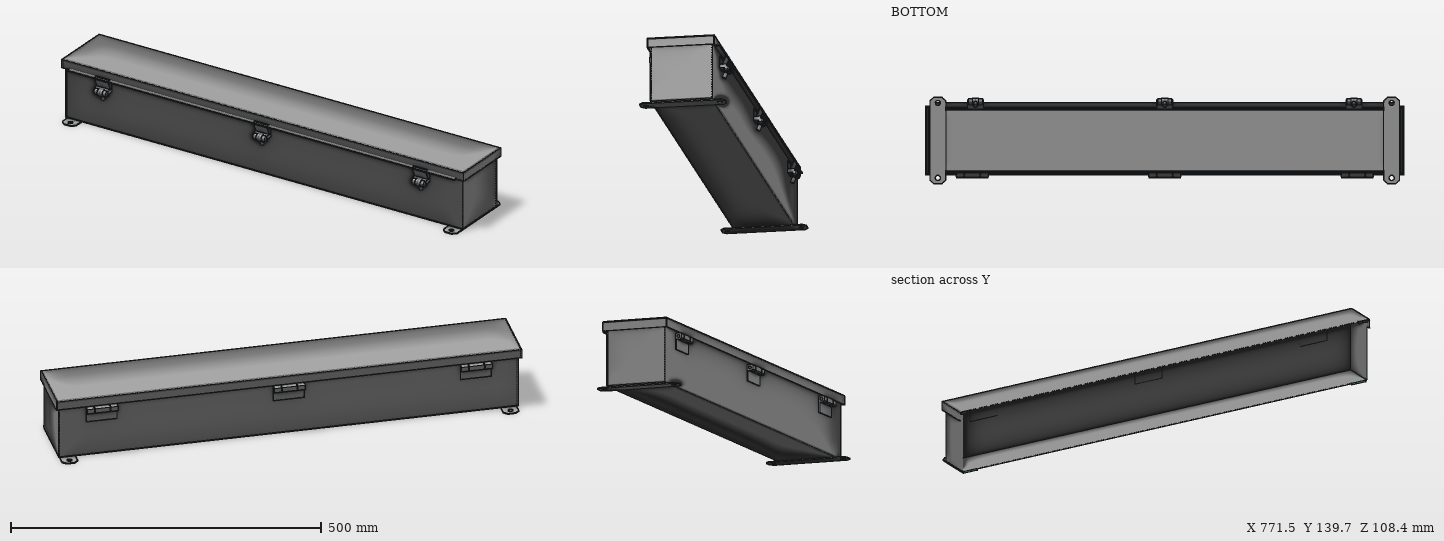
import cadquery as cq
import math

BOX_LENGTH = 762.0
BOX_WIDTH = 101.6
BOX_DEPTH = 101.6
SHEET = 1.9
BEND_RADIUS = 2.6
OVERALL_HEIGHT = 108.38

STRAP_SPAN = 139.7
STRAP_WIDTH = 26.0
STRAP_TIP_WIDTH = 13.0
STRAP_CORNER_LENGTH = 6.0
STRAP_X = 365.5
STRAP_HOLE_DIAMETER = 7.94
STRAP_HOLE_Y = 60.3

LID_OVERHANG = 4.76
LID_HEIGHT = 15.9
LIP_REACH = 5.3
LIP_THICKNESS = 1.6
LIP_ROOT_RADIUS = 1.5
LIP_LENGTH = 742.0
GASKET_CLEARANCE = 1.0
GASKET_INSET = 19.1

HINGE_PITCH = 310.0
HINGE_WIDTH = 51.0
HINGE_LEAF_THICKNESS = 1.9
HINGE_LEAF_BOTTOM = 63.5
KNUCKLE_DEPTH = 9.8
KNUCKLE_BOTTOM = 80.5
KNUCKLE_TOP = 90.0
KNUCKLE_CHAMFER = 2.0
KNUCKLE_GAP = 1.2
CENTRE_KNUCKLE_LENGTH = 24.6
HINGE_PIN_DIAMETER = 4.57
HINGE_PIN_PROJECTION = 0.6

LATCH_PITCH = 304.8
LATCH_WIDTH = 26.0
LATCH_PLATE_THICKNESS = 1.5
LATCH_PLATE_TOP = 91.5
BARREL_DIAMETER = 12.27
BARREL_LENGTH = 10.0
BARREL_OFFSET = 11.5
BARREL_Z = 72.0
CHEEK_DIAMETER = 10.0
CHEEK_CHAMFER = 2.0
ARM_BOTTOM = 72.0
ARM_TOP = 78.0
HOOK_THICKNESS = 1.0
HOOK_REACH = 11.7
HOOK_TIP_REACH = 6.2
HOOK_CREST_REACH = 9.2
HOOK_FOOT_REACH = 5.2
HOOK_TIP_Z = 96.6
HOOK_CREST_Z = 97.2
HOOK_BEND_Z = 92.6
ROD_DIAMETER = 6.35
ROD_LENGTH = 15.0
ROD_TILT = 24.0

box_floor = SHEET
box_rim = box_floor + BOX_DEPTH
wall_y = BOX_WIDTH / 2
lid_length = BOX_LENGTH + 2 * LID_OVERHANG
lid_width = BOX_WIDTH + 2 * LID_OVERHANG
lid_bottom = OVERALL_HEIGHT - LID_HEIGHT
lid_underside = OVERALL_HEIGHT - SHEET


def block(length, width, bottom, top, x=0.0, y=0.0):
    """Upright block centred on (x, y) between two heights."""
    return cq.Workplane("XY", origin=(x, y, bottom)).rect(length, width).extrude(top - bottom)


def cylinder_along_x(diameter, length, y, z):
    """Cylinder along X, centred on X = 0."""
    return cq.Workplane("YZ", origin=(0, y, z)).circle(diameter / 2).extrude(length / 2, both=True)


def profile_along_x(points, length):
    """Closed (y, z) outline extruded along X, centred on X = 0."""
    return cq.Workplane("YZ").polyline(points).close().extrude(length / 2, both=True)


def make_strap():
    """Flat strap across the box with tapered, drilled ends that serve as feet."""
    half_span = STRAP_SPAN / 2
    half_width = STRAP_WIDTH / 2
    half_tip = STRAP_TIP_WIDTH / 2
    shoulder = half_span - STRAP_CORNER_LENGTH
    outline = [
        (half_width, -shoulder),
        (half_width, shoulder),
        (half_tip, half_span),
        (-half_tip, half_span),
        (-half_width, shoulder),
        (-half_width, -shoulder),
        (-half_tip, -half_span),
        (half_tip, -half_span),
    ]
    strap = cq.Workplane("XY").polyline(outline).close().extrude(SHEET)
    holes = (
        cq.Workplane("XY")
        .pushPoints([(0, -STRAP_HOLE_Y), (0, STRAP_HOLE_Y)])
        .circle(STRAP_HOLE_DIAMETER / 2)
        .extrude(SHEET)
    )
    return strap.cut(holes)


def make_box():
    """Open sheet-metal tub with its two mounting straps."""
    shell = block(BOX_LENGTH, BOX_WIDTH, box_floor, box_rim).faces("<Z").edges().fillet(BEND_RADIUS)
    cavity = block(BOX_LENGTH - 2 * SHEET, BOX_WIDTH - 2 * SHEET, box_floor + SHEET, box_rim)
    tub = shell.cut(cavity)
    strap = make_strap()
    for side in (-1, 1):
        tub = tub.union(strap.translate((side * STRAP_X, 0, 0)))
    return tub


def make_lid():
    """Shallow cap over the box rim, with an outward lip for the latches along its front edge."""
    cap = block(lid_length, lid_width, lid_bottom, OVERALL_HEIGHT).faces(">Z").edges().fillet(BEND_RADIUS)
    cavity = block(lid_length - 2 * SHEET, lid_width - 2 * SHEET, lid_bottom, lid_underside)
    front_y = -lid_width / 2
    root_y = front_y + SHEET / 2
    lip_top = lid_bottom + LIP_THICKNESS
    lip = (
        cq.Workplane("YZ")
        .moveTo(root_y, lid_bottom)
        .lineTo(front_y - LIP_REACH, lid_bottom)
        .lineTo(front_y - LIP_REACH, lip_top)
        .lineTo(front_y - LIP_ROOT_RADIUS, lip_top)
        .radiusArc((front_y, lip_top + LIP_ROOT_RADIUS), -LIP_ROOT_RADIUS)
        .lineTo(root_y, lip_top + LIP_ROOT_RADIUS)
        .close()
        .extrude(LIP_LENGTH / 2, both=True)
    )
    return cap.cut(cavity).union(lip)


def make_gasket():
    """Flat sealing ring between the box rim and the underside of the lid."""
    outer_inset = 2 * (SHEET + GASKET_CLEARANCE)
    ring = block(lid_length - outer_inset, lid_width - outer_inset, box_rim, lid_underside)
    opening = block(
        lid_length - 2 * GASKET_INSET, lid_width - 2 * GASKET_INSET, box_rim, lid_underside
    )
    return ring.cut(opening)


def make_hinge():
    """Leaf on the back wall carrying a row of three square knuckles on a pin."""
    leaf_y = wall_y + HINGE_LEAF_THICKNESS / 2
    knuckle_y = wall_y + KNUCKLE_DEPTH / 2
    pin_z = (KNUCKLE_BOTTOM + KNUCKLE_TOP) / 2
    leaf = block(HINGE_WIDTH, HINGE_LEAF_THICKNESS, HINGE_LEAF_BOTTOM, KNUCKLE_TOP, y=leaf_y)
    knuckles = block(HINGE_WIDTH, KNUCKLE_DEPTH, KNUCKLE_BOTTOM, KNUCKLE_TOP, y=knuckle_y)
    knuckles = knuckles.faces("<Z").edges(">Y").chamfer(KNUCKLE_CHAMFER)
    gap_x = (CENTRE_KNUCKLE_LENGTH + KNUCKLE_GAP) / 2
    for side in (-1, 1):
        gap = block(KNUCKLE_GAP, KNUCKLE_DEPTH, KNUCKLE_BOTTOM, KNUCKLE_TOP, side * gap_x, knuckle_y)
        knuckles = knuckles.cut(gap)
    pin_length = HINGE_WIDTH + 2 * HINGE_PIN_PROJECTION
    pin = cylinder_along_x(HINGE_PIN_DIAMETER, pin_length, knuckle_y, pin_z)
    return leaf.union(knuckles).union(pin)


def make_hook():
    """Bent plate rising from the latch arm and closing over the lid lip."""
    outer = [
        (-(wall_y + HOOK_FOOT_REACH), ARM_BOTTOM),
        (-(wall_y + HOOK_FOOT_REACH), ARM_TOP),
        (-(wall_y + HOOK_REACH), HOOK_BEND_Z),
        (-(wall_y + HOOK_CREST_REACH), HOOK_CREST_Z),
        (-(wall_y + HOOK_TIP_REACH), HOOK_TIP_Z),
    ]
    inner = [(y + HOOK_THICKNESS, z) for y, z in outer[:3]]
    crest_y, crest_z = outer[3]
    tip_y, tip_z = outer[4]
    inner.append((crest_y, crest_z - HOOK_THICKNESS))
    inner.append((tip_y, tip_z - HOOK_THICKNESS))
    return profile_along_x(outer + inner[::-1], LATCH_WIDTH)


def make_rod():
    """Round rod leaning from the barrel centre down towards the wall."""
    tilt = math.radians(ROD_TILT)
    start = cq.Vector(0, -(wall_y + BARREL_OFFSET), BARREL_Z)
    direction = cq.Vector(0, math.sin(tilt), -math.cos(tilt))
    return cq.Workplane(cq.Solid.makeCylinder(ROD_DIAMETER / 2, ROD_LENGTH, start, direction))


def make_latch():
    """Wall plate, arm, barrel, hook and rod of one toggle latch."""
    barrel_y = -(wall_y + BARREL_OFFSET)
    plate = block(
        LATCH_WIDTH,
        LATCH_PLATE_THICKNESS,
        ARM_BOTTOM,
        LATCH_PLATE_TOP,
        y=-(wall_y + LATCH_PLATE_THICKNESS / 2),
    )
    arm = block(LATCH_WIDTH, BARREL_OFFSET, ARM_BOTTOM, ARM_TOP, y=-(wall_y + BARREL_OFFSET / 2))
    cheeks = cylinder_along_x(CHEEK_DIAMETER, LATCH_WIDTH, barrel_y, BARREL_Z)
    cheeks = cheeks.faces("<X or >X").edges().chamfer(CHEEK_CHAMFER)
    barrel = cylinder_along_x(BARREL_DIAMETER, BARREL_LENGTH, barrel_y, BARREL_Z)
    return plate.union(arm).union(cheeks).union(barrel).union(make_hook()).union(make_rod())


box = make_box()
lid = make_lid()
gasket = make_gasket()
hinges = []
latches = []
for position in (-1, 0, 1):
    hinges.append(make_hinge().translate((position * HINGE_PITCH, 0, 0)))
    latches.append(make_latch().translate((position * LATCH_PITCH, 0, 0)))

bodies = [box, lid, gasket, *hinges, *latches]
result = cq.Compound.makeCompound([body.val() for body in bodies])